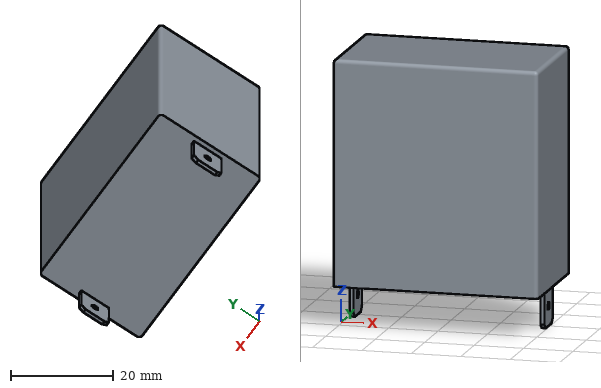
import cadquery as cq

total_height = 53.6
housing_length = 41.5
housing_width = 24.0

blade_length = 8.1
housing_height = total_height - blade_length
edge_radius = 0.8

blade_thickness = 0.8
blade_width = 6.55
blade_spacing = 38.6
tip_chamfer = 1.0
hole_diameter = 1.5
hole_depth_below_housing = blade_length / 2


def make_housing():
    """Block standing on Z = 0, rounded on its upright and top edges."""
    block = cq.Workplane("XY").box(
        housing_length, housing_width, housing_height, centered=(True, True, False)
    )
    return block.edges("|Z or >Z").fillet(edge_radius)


def make_blade(x_center):
    """Flat terminal hanging below the housing, with a clipped tip and a cross hole."""
    blade = (
        cq.Workplane("XY")
        .box(blade_thickness, blade_width, blade_length, centered=(True, True, False))
        .translate((0, 0, -blade_length))
        .edges("|X and <Z")
        .chamfer(tip_chamfer)
    )
    hole = (
        cq.Workplane("YZ")
        .center(0, -hole_depth_below_housing)
        .circle(hole_diameter / 2)
        .extrude(blade_thickness, both=True)
    )
    return blade.cut(hole).translate((x_center, 0, 0))


housing = make_housing()
blades = [make_blade(side * blade_spacing / 2) for side in (-1, 1)]

result = cq.Compound.makeCompound([housing.val(), *[blade.val() for blade in blades]])